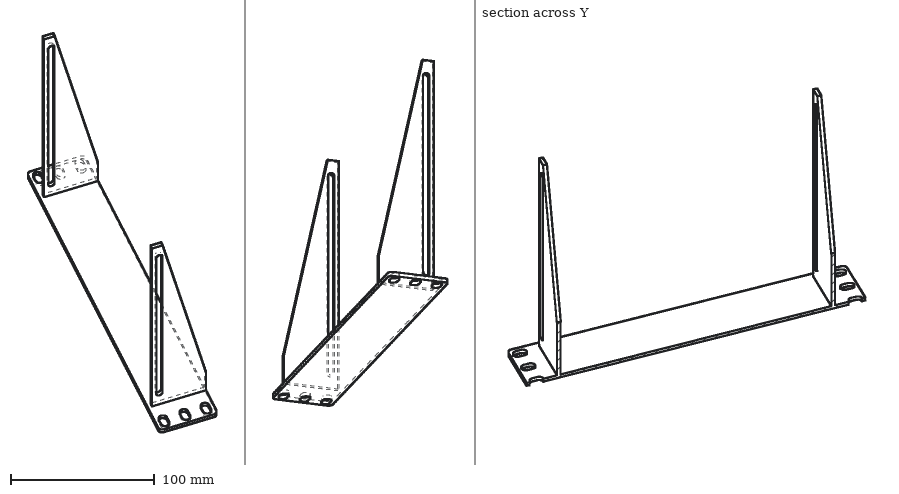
import cadquery as cq

base_length = 253.0
base_width = 43.5
sheet_thickness = 3.0
base_corner_radius = 3.0

total_height = 173.0
bracket_spacing = 205.0
bracket_depth = 40.5
bracket_tip_depth = 8.0
bracket_straight_top = 22.8
bracket_back = base_width / 2
bracket_front = bracket_back - bracket_depth

bracket_slot_width = 4.5
bracket_slot_bottom = 12.6
bracket_slot_top = 163.5
bracket_slot_inset = 5.5

mount_slot_length = 10.0
mount_slot_width = 6.0
mount_slot_spacing_x = 238.3
mount_slot_pitch_y = 15.7


def make_base():
    plate = (
        cq.Workplane("XY")
        .rect(base_length, base_width)
        .extrude(sheet_thickness)
        .edges("|Z")
        .fillet(base_corner_radius)
    )
    return (
        plate.faces(">Z")
        .workplane(origin=(0, 0, 0))
        .rarray(mount_slot_spacing_x, mount_slot_pitch_y, 2, 3)
        .slot2D(mount_slot_length, mount_slot_width)
        .cutThruAll()
    )


def make_bracket(center_x):
    """Tapered upright plate with a vertical slot along its straight front edge."""
    sheet_plane = cq.Workplane("YZ", origin=(center_x - sheet_thickness / 2, 0, 0))
    plate = (
        sheet_plane.moveTo(bracket_front, sheet_thickness)
        .lineTo(bracket_back, sheet_thickness)
        .lineTo(bracket_back, bracket_straight_top)
        .lineTo(bracket_front + bracket_tip_depth, total_height)
        .lineTo(bracket_front, total_height)
        .close()
        .extrude(sheet_thickness)
    )
    slot_center_z = (bracket_slot_bottom + bracket_slot_top) / 2
    slot_length = bracket_slot_top - bracket_slot_bottom
    slot = (
        sheet_plane.center(bracket_front + bracket_slot_inset, slot_center_z)
        .slot2D(slot_length, bracket_slot_width, 90)
        .extrude(sheet_thickness)
    )
    return plate.cut(slot)


result = make_base()
for side in (-1, 1):
    result = result.union(make_bracket(side * bracket_spacing / 2))